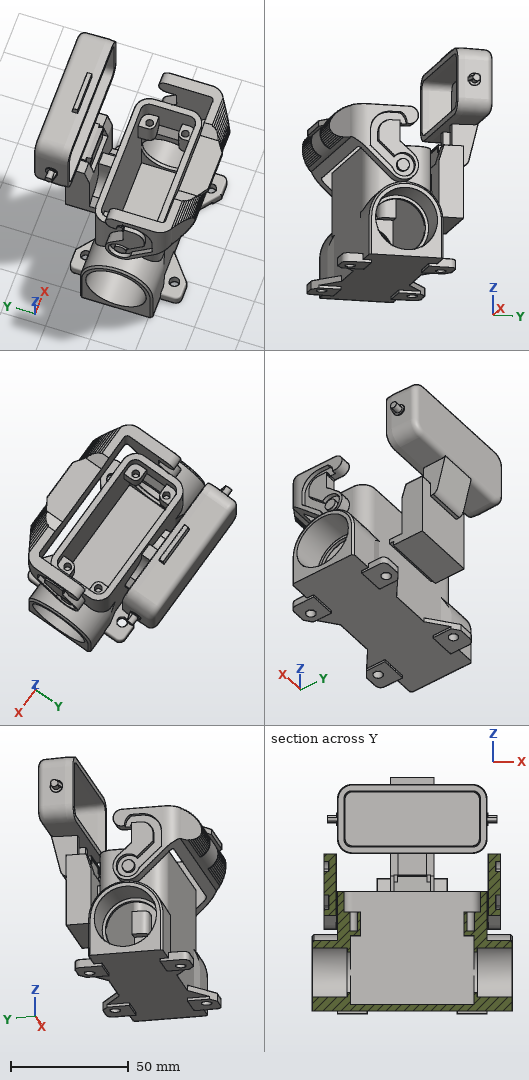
import cadquery as cq
import math


JOINT_OVERLAP = 1.0
DIAGONAL = math.sqrt(0.5)

base_z = 1.2
body_length = 63.6
body_width = 29.7
body_top = 52.0
body_corner_radius = 6.6
cavity_length = 57.8
cavity_width = 24.3
cavity_corner_radius = 3.6
cavity_floor = 4.0
lower_cavity_length = 52.2
taper_top = 36.1
taper_bottom = 33.1

post_inner_x = 21.9
post_inner_y = 5.2
post_top = 43.3
post_corner_radius = 2.8
screw_x = 24.8
screw_y = 8.0
screw_hole_diameter = 3.2
screw_hole_depth = 8.0

entry_half_length = 85.0 / 2
entry_radius = 32.4 / 2
entry_axis_z = 17.6
entry_edge_chamfer = 0.9
entry_blend_start_x = 22.1
entry_blend_end_x = 27.6
bore_diameter = 27.1
bore_end_x = 27.6
through_diameter = 24.3

foot_outer_y = 25.0
foot_inner_x = 9.7
foot_tip_x = 22.5
foot_top = 3.9
foot_corner_radius = 2.8
foot_edge_fillet = 0.8
pad_inner_x = 19.1
pad_inner_y = 12.7
mount_hole_x = 24.0
mount_hole_y = 19.9
mount_hole_diameter = 4.4

bracket_half_width = 15.0
bracket_back_y = 32.2
bracket_front_y = 21.4
bracket_lip_y = 23.6
bracket_top = 57.4
bracket_bevel_z = 50.4
bracket_slot_floor = 50.2
bracket_bottom = 25.9
bracket_arm_bottom = 28.0
bracket_arm_edge_z = 30.2
bracket_arm_top = 32.6
bracket_step_y = 17.0
rib_half_width = 2.8
rib_top = 47.0
rib_flare_radius = 8.2
hinge_half_width = 9.2

cover_length = 63.5
cover_bottom = 68.1
cover_top = 97.4
cover_rim_y = 25.4
cover_flange_y = 28.6
cover_back_y = 41.1
cover_corner_radius = 6.2
cover_back_fillet = 2.7
cover_draft = 1.4
cover_flange_draft = 5.0
cover_mouth_wall = 2.7
cover_wall = 2.9
cover_floor_y = 38.4
cover_pin_y = 32.5
cover_pin_z = 82.6
cover_pin_diameter = 3.2
cover_pin_end_x = 36.0
cover_pin_collar_diameter = 5.3
cover_pin_collar_x = 32.1
cover_pin_web_thickness = 1.6
tab_top = 100.4
tab_tip_y = 30.6
tab_root_y = 31.2

arm_recess_half_width = 6.0
arm_recess_back_y = 35.1
arm_shelf_z = 58.5
arm_front_y = 25.1
arm_bottom = bracket_slot_floor
arm_back_top_y = 40.2
arm_corner_start = (36.1, 52.9)
arm_corner_mid = (35.3, 51.2)
arm_corner_end_y = 33.8
curl_half_width = 7.8
curl_panel_top_y = 23.3
curl_panel_bottom_y = 23.4
curl_y = 23.0
curl_top = 59.0
curl_lip_z = 58.4
curl_root_z = 57.2
curl_tab_width = 1.6
curl_tab_drop = 3.0

lever_half_width = 37.5
lever_inner_x = 32.2
lever_top = 67.9
lever_bar_inner_y = -18.3
lever_inner_radius = 1.6
lever_bend_y = -15.7
lever_bend_x = 33.3
lever_bend_end_y = -22.1
grip_end_x = 22.4
grip_radius = 6.9
grip_y = -21.9
grip_z = lever_top - grip_radius
grip_front_y = grip_y - grip_radius
thumb_top = 66.0
thumb_thickness = 2.4
thumb_tip_y = -29.9
thumb_tip_half_width = 9.3
thumb_side_y = -26.7
thumb_half_width = 14.2
thumb_slope_half_width = 19.6

hook_end_y = 6.5
hook_bottom = 60.3
hook_radius = (lever_top - hook_bottom) / 2
hook_notch_y = -1.5
hook_notch_chamfer = 0.5
hook_heel_z = 52.5

pivot_z = 42.4
pivot_radius = 6.5
pivot_pin_diameter = 5.3
pivot_pin_end_x = 37.1
pivot_washer_diameter = 7.0
lever_slope = math.radians(42.7)

track_depth = 2.0
track_pivot_radius = 5.1
track_center_y = -5.6
track_center_z = 56.2
track_outer_radius = 8.9
track_inner_radius = 5.2
track_mouth_y = 1.5
track_end_y = -1.1
track_end_mid = (0.8, 63.3)
track_edge_offset = 4.4

serration_pitch = 7.2
serration_count = 22
serration_first_angle = -65.0
serration_radius = 0.6
grip_panel_half_width = 7.5


def box_between(x, y, z):
    """Box spanning the (low, high) pairs along X, Y and Z."""
    size = [high - low for low, high in (x, y, z)]
    return cq.Workplane("XY").box(*size, centered=False).translate((x[0], y[0], z[0]))


def rod_x(start, end, diameter, y, z):
    """Round rod along X."""
    rod = cq.Workplane("YZ").circle(diameter / 2).extrude(end - start)
    return rod.translate((start, y, z))


def extrude_x(profile, half_width):
    """Extrude a YZ outline the same distance both ways from the middle plane."""
    return profile.extrude(half_width, both=True)


def both_ends(shape):
    """The shape together with its mirror image at the opposite X end."""
    return shape.union(shape.mirror("YZ"))


def four_corners(shape):
    """The shape repeated at all four corners of the housing."""
    pair = both_ends(shape)
    return pair.union(pair.mirror("XZ"))


def make_entry():
    """Cable entry with an arched top, blended into the body (-X end)."""
    length = entry_half_length
    arch = (
        cq.Workplane("YZ")
        .moveTo(-entry_radius, base_z)
        .lineTo(-entry_radius, entry_axis_z)
        .threePointArc((0, entry_axis_z + entry_radius), (entry_radius, entry_axis_z))
        .lineTo(entry_radius, base_z)
        .close()
        .extrude(-length)
    )
    arch = arch.faces("<X").edges("not <Z").chamfer(entry_edge_chamfer)
    plan = (
        cq.Workplane("XY")
        .polyline([
            (-length, -entry_radius),
            (-entry_blend_end_x, -entry_radius),
            (-entry_blend_start_x, -body_width / 2),
            (-entry_blend_start_x, body_width / 2),
            (-entry_blend_end_x, entry_radius),
            (-length, entry_radius),
        ])
        .close()
        .extrude(body_top)
    )
    return arch.intersect(plan)


def make_foot():
    """Mounting ear with its raised pad and screw hole (+X, +Y corner)."""
    half_length = body_length / 2
    ear = (
        cq.Workplane("XY")
        .polyline([
            (half_length, 0),
            (half_length, foot_outer_y),
            (foot_tip_x, foot_outer_y),
            (foot_inner_x, body_width / 2),
            (foot_inner_x, 0),
        ])
        .close()
        .extrude(foot_top)
    )
    ear = ear.edges("|Z and >X and >Y").fillet(foot_corner_radius)
    ear = ear.faces(">Z").edges("not <Y").edges("not <X").fillet(foot_edge_fillet)
    relief = box_between((0, half_length), (0, foot_outer_y), (0, base_z))
    relief = relief.cut(box_between((pad_inner_x, half_length), (pad_inner_y, foot_outer_y), (0, base_z)))
    hole = (
        cq.Workplane("XY")
        .center(mount_hole_x, mount_hole_y)
        .circle(mount_hole_diameter / 2)
        .extrude(foot_top)
    )
    return ear.cut(relief).cut(hole)


def make_cavity():
    """Hollow of the body: wide mouth, sloped end walls, narrower lower part."""
    half_top = cavity_length / 2
    half_low = lower_cavity_length / 2
    outline = [
        (half_low, cavity_floor),
        (half_low, taper_bottom),
        (half_top, taper_top),
        (half_top, body_top),
    ]
    outline += [(-x, z) for x, z in reversed(outline)]
    hollow = cq.Workplane("XZ").polyline(outline).close().extrude(cavity_width / 2, both=True)
    mouth = cq.Workplane("XY").rect(cavity_length, cavity_width).extrude(body_top)
    mouth = mouth.edges("|Z").fillet(cavity_corner_radius)
    return hollow.intersect(mouth)


def make_post():
    """Insert-screw post in a cavity corner (+X, +Y corner)."""
    post = box_between(
        (post_inner_x, body_length / 2 - JOINT_OVERLAP),
        (post_inner_y, body_width / 2 - JOINT_OVERLAP),
        (taper_bottom, post_top),
    )
    post = post.edges("|Z and <X and <Y").fillet(post_corner_radius)
    post = post.edges("|Z and >X and >Y").fillet(body_corner_radius - JOINT_OVERLAP)
    hole = (
        cq.Workplane("XY", origin=(screw_x, screw_y, post_top))
        .circle(screw_hole_diameter / 2)
        .extrude(-screw_hole_depth)
    )
    return post.cut(hole)


def make_housing():
    body = (
        cq.Workplane("XY", origin=(0, 0, base_z))
        .rect(body_length, body_width)
        .extrude(body_top - base_z)
        .edges("|Z")
        .fillet(body_corner_radius)
    )
    body = body.union(both_ends(make_entry())).union(four_corners(make_foot()))
    body = body.cut(make_cavity()).union(four_corners(make_post()))
    body = body.cut(both_ends(rod_x(bore_end_x, entry_half_length, bore_diameter, 0, entry_axis_z)))
    return body.cut(rod_x(-entry_half_length, entry_half_length, through_diameter, 0, entry_axis_z))


def make_bracket():
    """Hinge bracket behind the body, carried on a flat arm with a flared rib."""
    root_y = body_width / 2 - JOINT_OVERLAP
    plate = extrude_x(
        cq.Workplane("YZ").polyline([
            (bracket_step_y, bracket_bottom),
            (bracket_back_y, bracket_bottom),
            (bracket_back_y, bracket_top),
            (bracket_lip_y, bracket_top),
            (bracket_front_y, bracket_bevel_z),
            (bracket_front_y, bracket_arm_edge_z),
            (bracket_step_y, bracket_arm_edge_z),
        ]).close(),
        bracket_half_width,
    )
    slot = box_between(
        (-hinge_half_width, hinge_half_width), (0, bracket_back_y), (bracket_slot_floor, bracket_top)
    )
    flare_x = rib_half_width + rib_flare_radius
    flare_z = bracket_arm_top + rib_flare_radius
    arc_offset = rib_flare_radius * DIAGONAL
    support = (
        cq.Workplane("XZ", origin=(0, root_y, 0))
        .moveTo(-bracket_half_width, bracket_arm_bottom)
        .lineTo(-bracket_half_width, bracket_arm_edge_z)
        .lineTo(-flare_x, bracket_arm_top)
        .threePointArc((-flare_x + arc_offset, flare_z - arc_offset), (-rib_half_width, flare_z))
        .lineTo(-rib_half_width, rib_top)
        .lineTo(rib_half_width, rib_top)
        .lineTo(rib_half_width, flare_z)
        .threePointArc((flare_x - arc_offset, flare_z - arc_offset), (flare_x, bracket_arm_top))
        .lineTo(bracket_half_width, bracket_arm_edge_z)
        .lineTo(bracket_half_width, bracket_arm_bottom)
        .close()
        .extrude(root_y - bracket_front_y - JOINT_OVERLAP)
    )
    return plate.cut(slot).union(support)


def make_cover_shell():
    """Dished cover with a straight flange, a drafted back and side pins."""
    mid_z = (cover_top + cover_bottom) / 2
    height = cover_top - cover_bottom

    def slab(start_y, end_y, inset, draft):
        outline = cq.Sketch().rect(cover_length - 2 * inset, height - 2 * inset)
        outline = outline.vertices().fillet(cover_corner_radius - inset)
        plane = cq.Workplane("XZ", origin=(0, start_y, mid_z))
        return plane.placeSketch(outline).extrude(start_y - end_y, taper=draft)

    flange = slab(cover_flange_y, cover_rim_y, 0, cover_flange_draft)
    dish = slab(cover_flange_y, cover_back_y, 0, cover_draft)
    dish = dish.faces(">Y").edges().fillet(cover_back_fillet)
    shell = flange.union(dish).cut(slab(cover_rim_y, cover_floor_y, cover_wall, cover_draft))
    shell = shell.cut(slab(cover_rim_y, cover_flange_y, cover_mouth_wall, cover_flange_draft))
    inside_x = cover_length / 2 - cover_wall / 2
    pin = rod_x(inside_x, cover_pin_end_x, cover_pin_diameter, cover_pin_y, cover_pin_z)
    collar = rod_x(inside_x, cover_pin_collar_x, cover_pin_collar_diameter, cover_pin_y, cover_pin_z)
    web = (
        cq.Workplane("XY", origin=(0, 0, cover_pin_z))
        .polyline([
            (inside_x, cover_pin_y),
            (cover_pin_end_x, cover_pin_y),
            (cover_pin_end_x, cover_pin_y - cover_pin_diameter / 2),
            (cover_pin_collar_x, cover_pin_y - cover_pin_collar_diameter / 2),
            (inside_x, cover_pin_y - cover_pin_collar_diameter / 2),
        ])
        .close()
        .extrude(cover_pin_web_thickness / 2, both=True)
    )
    return shell.union(both_ends(pin.union(collar).union(web)))


def make_cover_hinge():
    """Finger tab on top of the cover and hinge arm below it."""
    tab_root_z = cover_top - cover_wall / 2
    tab = (
        cq.Workplane("YZ")
        .polyline([
            (cover_flange_y, tab_root_z),
            (cover_flange_y, tab_top),
            (tab_tip_y, tab_top),
            (tab_root_y, cover_top),
            (tab_root_y, tab_root_z),
        ])
        .close()
    )
    arm_root_z = cover_bottom + JOINT_OVERLAP
    arm = (
        cq.Workplane("YZ")
        .moveTo(cover_flange_y, arm_root_z)
        .lineTo(arm_back_top_y, arm_root_z)
        .lineTo(*arm_corner_start)
        .threePointArc(arm_corner_mid, (arm_corner_end_y, arm_bottom))
        .lineTo(arm_front_y, arm_bottom)
        .lineTo(arm_front_y, arm_shelf_z)
        .lineTo(cover_flange_y, arm_shelf_z)
        .close()
    )
    hinge = extrude_x(arm, hinge_half_width).cut(box_between(
        (-arm_recess_half_width, arm_recess_half_width),
        (cover_flange_y, arm_recess_back_y),
        (arm_shelf_z, cover_bottom),
    ))
    panel = cq.Workplane("YZ").polyline([
        (arm_front_y, arm_bottom),
        (curl_panel_bottom_y, arm_bottom),
        (curl_panel_top_y, arm_shelf_z),
        (arm_front_y, arm_shelf_z),
    ]).close()
    curl = cq.Workplane("YZ").polyline([
        (arm_front_y, arm_shelf_z),
        (curl_y, curl_top),
        (curl_y, curl_lip_z),
        (arm_front_y, curl_root_z),
    ]).close()
    curl_tab = box_between(
        (curl_half_width - curl_tab_width, curl_half_width),
        (curl_y, arm_front_y),
        (curl_top - curl_tab_drop, curl_lip_z),
    )
    front = extrude_x(panel, curl_half_width).union(extrude_x(curl, curl_half_width))
    front = front.union(both_ends(curl_tab))
    return extrude_x(tab, hinge_half_width).union(hinge).union(front)


def make_lever_blank():
    """Lever bow: a U in plan trimmed to the hooked side outline."""
    half = lever_half_width
    plan = (
        cq.Workplane("XY")
        .moveTo(half, hook_end_y)
        .lineTo(half, lever_bend_y)
        .tangentArcPoint((lever_bend_x, lever_bend_end_y), relative=False)
        .lineTo(grip_end_x, grip_front_y)
        .lineTo(0, grip_front_y)
        .lineTo(0, lever_bar_inner_y)
        .lineTo(lever_inner_x - lever_inner_radius, lever_bar_inner_y)
        .tangentArcPoint((lever_inner_x, lever_bar_inner_y + lever_inner_radius), relative=False)
        .lineTo(lever_inner_x, hook_end_y)
        .close()
        .extrude(lever_top)
    )
    sine = pivot_radius * math.sin(lever_slope)
    cosine = pivot_radius * math.cos(lever_slope)
    side = (
        cq.Workplane("YZ")
        .moveTo(grip_y, lever_top)
        .lineTo(hook_end_y - hook_radius, lever_top)
        .threePointArc((hook_end_y, lever_top - hook_radius), (hook_end_y - hook_radius, hook_bottom))
        .lineTo(hook_notch_y + hook_notch_chamfer, hook_bottom)
        .lineTo(hook_notch_y, hook_bottom - hook_notch_chamfer)
        .lineTo(hook_notch_y, hook_heel_z)
        .lineTo(sine, pivot_z + cosine)
        .threePointArc((cosine, pivot_z - sine), (-sine, pivot_z - cosine))
        .lineTo(grip_y, grip_z - grip_radius)
        .threePointArc((grip_front_y, grip_z), (grip_y, lever_top))
        .close()
    )
    return both_ends(plan).intersect(extrude_x(side, half))


def make_track():
    """Recess in the outer face of the lever arm (+X end)."""
    depth_start = lever_half_width - track_depth
    tangent_y = -track_edge_offset * math.sin(lever_slope)
    tangent_z = pivot_z - track_edge_offset * math.cos(lever_slope)
    outer_y = track_center_y - track_outer_radius
    inner_y = track_center_y - track_inner_radius
    outer_top = track_center_z + track_outer_radius
    inner_top = track_center_z + track_inner_radius
    slope = math.tan(lever_slope)
    channel = (
        cq.Workplane("YZ", origin=(depth_start, 0, 0))
        .moveTo(0, pivot_z)
        .lineTo(inner_y, pivot_z - inner_y * slope)
        .lineTo(inner_y, track_center_z)
        .threePointArc(
            (track_center_y - track_inner_radius * DIAGONAL, track_center_z + track_inner_radius * DIAGONAL),
            (track_center_y, inner_top),
        )
        .lineTo(hook_notch_y, inner_top)
        .lineTo(hook_notch_y, hook_bottom)
        .lineTo(track_mouth_y, hook_bottom)
        .threePointArc(track_end_mid, (track_end_y, outer_top))
        .lineTo(track_center_y, outer_top)
        .threePointArc(
            (track_center_y - track_outer_radius * DIAGONAL, track_center_z + track_outer_radius * DIAGONAL),
            (outer_y, track_center_z),
        )
        .lineTo(outer_y, tangent_z + (tangent_y - outer_y) * slope)
        .lineTo(tangent_y, tangent_z)
        .close()
        .extrude(track_depth)
    )
    return channel.union(rod_x(depth_start, lever_half_width, 2 * track_pivot_radius, 0, pivot_z))


def make_serrations():
    """Hollow flutes meeting in ridges around the grip, clear of the plain middle panel."""
    grooves = cq.Workplane("YZ")
    half_pitch = grip_radius * math.sin(math.radians(serration_pitch / 2))
    flute_y = grip_front_y - math.sqrt(serration_radius**2 - half_pitch**2)
    groove = rod_x(grip_panel_half_width, lever_half_width, 2 * serration_radius, flute_y, grip_z)
    axis_start = (0, grip_y, grip_z)
    axis_end = (1, grip_y, grip_z)
    for index in range(serration_count):
        angle = -(serration_first_angle + index * serration_pitch)
        grooves = grooves.add(groove.rotate(axis_start, axis_end, angle))
    return both_ends(grooves.combine())


def make_thumb_rest():
    """Flat tongue at the middle of the grip."""
    tongue = [
        (thumb_half_width, lever_bar_inner_y),
        (thumb_half_width, thumb_side_y),
        (thumb_tip_half_width, thumb_tip_y),
    ]
    tongue += [(-x, y) for x, y in reversed(tongue)]
    plane = cq.Workplane("XY", origin=(0, 0, thumb_top))
    return plane.polyline(tongue).close().extrude(-thumb_thickness)


def make_thumb_recess():
    """Lowered middle of the bow, with a ramp at each side."""
    recess = [
        (-thumb_half_width, thumb_top),
        (thumb_half_width, thumb_top),
        (thumb_slope_half_width, lever_top),
        (-thumb_slope_half_width, lever_top),
    ]
    return cq.Workplane("XZ").polyline(recess).close().extrude(-thumb_tip_y)


def make_lever():
    lever = make_lever_blank().cut(make_serrations()).cut(make_thumb_recess()).union(make_thumb_rest())
    lever = lever.cut(both_ends(make_track()))
    inside_x = body_length / 2 - JOINT_OVERLAP
    pin = rod_x(inside_x, pivot_pin_end_x, pivot_pin_diameter, 0, pivot_z)
    washer = rod_x(inside_x, lever_inner_x, pivot_washer_diameter, 0, pivot_z)
    return lever.union(both_ends(pin.union(washer)))


result = (
    make_housing()
    .union(make_bracket())
    .union(make_cover_shell())
    .union(make_cover_hinge())
    .union(make_lever())
)